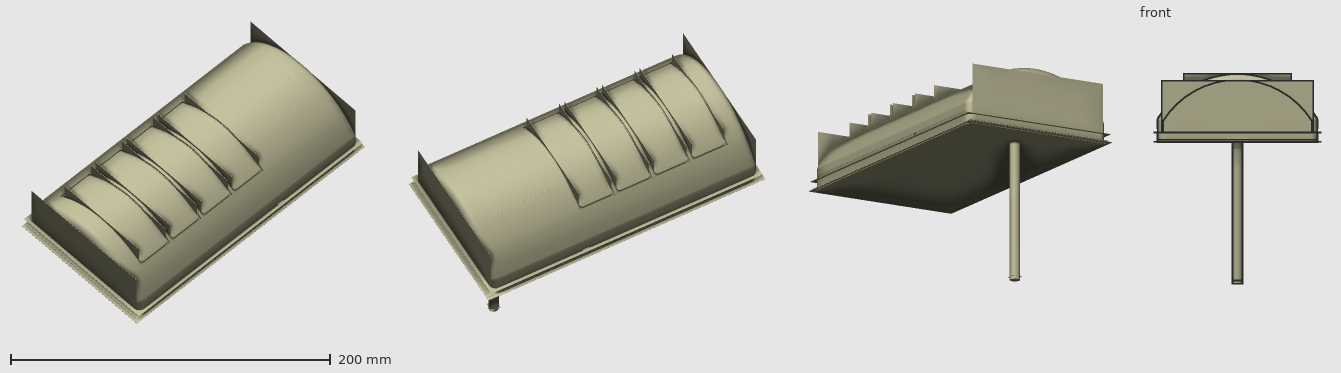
import cadquery as cq
import math


body_width = 100.4
body_length = 189.5
dome_top = 42.9
dome_radius = 58.7
edge_radius = 4.7
sheet = 0.2

split_height = 6.3
foot_width = 98.5
foot_length = 191.0
wide_flange_width = 104.0
bottom_flange_length = 197.6
upper_flange_length = 193.8
bottom_flange_z = 0.4
middle_flange_z = 1.5
middle_flange_width = body_width + 0.2

rebate_height = 2.5
rebate_depth = 0.2
notch_width = 4.7
notch_depth = 1.0
notch_y = 27.9

end_fin_width = 94.8
end_fin_drop = 4.1
end_fin_top = dome_top - end_fin_drop
end_fin_thickness = 0.1
end_fin_setback = 0.02

button_count = 4
button_pitch = 26.9
first_button_y = 12.8
button_width = 71.5
button_length = 23.3
button_corner = 2.0
groove_width = 1.0
groove_depth = 1.2
button_fin_width = button_width - 2 * button_corner
button_fin_height = 12.8

lens_y = 57.1
lens_radius = 22.5
lens_depth = 6.0
lens_plate_size = 39.3
plate_reveal = 0.1

cable_y = 66.5
cable_diameter = 6.5
cable_length = 88.5
cable_tip = 2.0

dome_axis_z = dome_top - dome_radius


def dome_height(x):
    """Height of the dome surface at distance x from the middle plane."""
    return dome_axis_z + math.sqrt(dome_radius**2 - x**2)


def plate(width, length, height, y, bottom):
    """Upright box centred on X = 0 and on the given Y, standing on the given height."""
    return cq.Workplane("XY").box(width, length, height, centered=(True, True, False)).translate((0, y, bottom))


def dome_cylinder(radius):
    """Full-length cylinder about the dome axis."""
    return (
        cq.Workplane("XZ", origin=(0, 0, dome_axis_z))
        .circle(radius)
        .extrude(body_length / 2, both=True)
    )


def make_cover_block():
    """Domed block with every edge rounded except those of its flat underside."""
    half_width = body_width / 2
    shoulder = dome_height(half_width)
    block = (
        cq.Workplane("XZ")
        .moveTo(-half_width, split_height)
        .lineTo(half_width, split_height)
        .lineTo(half_width, shoulder)
        .threePointArc((0, dome_top), (-half_width, shoulder))
        .close()
        .extrude(body_length / 2, both=True)
    )
    return block.faces("not(<Z)").edges("not(<Z)").fillet(edge_radius)


def cut_side_rebates(cover):
    """Cut both sides with boxes that straddle the wall, so each is twice as wide as its cut is deep."""
    for side in (-1, 1):
        rebate = plate(2 * rebate_depth, body_length, rebate_height, 0, split_height)
        notch = plate(2 * notch_depth, notch_width, rebate_height, notch_y, split_height)
        cover = cover.cut(rebate.union(notch).translate((side * body_width / 2, 0, 0)))
    return cover


def add_end_fins(cover):
    """Raise a thin upright fin at each end, wider and taller than the end face."""
    for side in (-1, 1):
        y = side * ((body_length - end_fin_thickness) / 2 - end_fin_setback)
        fin = plate(end_fin_width, end_fin_thickness, end_fin_top - split_height, y, split_height)
        cover = cover.union(fin)
    return cover


def add_button(cover, y):
    """Cut the groove that outlines one button and raise a fin at each of its ends."""
    pocket = plate(button_width + 2 * groove_width, button_length + 2 * groove_width, dome_top, y, 0)
    pad = plate(button_width, button_length, dome_top, y, 0).edges("|Z").fillet(button_corner)
    cover = cover.cut(pocket.cut(pad).cut(dome_cylinder(dome_radius - groove_depth)))
    for side in (-1, 1):
        fin_y = y + side * (button_length - sheet) / 2
        fin_bottom = dome_top + sheet - button_fin_height
        cover = cover.union(plate(button_fin_width, sheet, button_fin_height, fin_y, fin_bottom))
    return cover


def make_lens():
    """Round lens flush with the dome, on a thin square plate whose long edges just show."""
    lens = (
        cq.Workplane("XY", origin=(0, lens_y, dome_top - lens_depth))
        .circle(lens_radius)
        .extrude(lens_depth)
        .intersect(dome_cylinder(dome_radius))
    )
    plate_top = dome_height(lens_plate_size / 2) + plate_reveal
    return lens.union(plate(lens_plate_size, lens_plate_size, sheet, lens_y, plate_top - sheet))


def make_cover(lens):
    cover = cut_side_rebates(make_cover_block())
    cover = add_end_fins(cover)
    for index in range(button_count):
        cover = add_button(cover, first_button_y - index * button_pitch)
    return cover.cut(lens)


def make_base():
    """Shallow tray block with a thin foot and three thin flanges round it."""
    walls = plate(body_width, body_length, split_height, 0, 0).edges("|Z").fillet(edge_radius)
    foot = plate(foot_width, foot_length, sheet, 0, 0)
    bottom_flange = plate(wide_flange_width, bottom_flange_length, sheet, 0, bottom_flange_z)
    middle_flange = plate(middle_flange_width, upper_flange_length, sheet, 0, middle_flange_z)
    upper_flange = plate(wide_flange_width, upper_flange_length, sheet, 0, split_height - sheet)
    return walls.union(foot).union(bottom_flange).union(middle_flange).union(upper_flange)


def make_cable():
    """Cable hanging from the underside of the base, with a thin square collar near its tip."""
    cable = cq.Workplane("XY", origin=(0, cable_y, 0)).circle(cable_diameter / 2).extrude(-cable_length)
    return cable.union(plate(cable_diameter, cable_diameter, sheet, cable_y, cable_tip - cable_length))


lens = make_lens()
cover = make_cover(lens)
base = make_base()
cable = make_cable()

result = cq.Compound.makeCompound([cover.val(), base.val(), lens.val(), cable.val()])